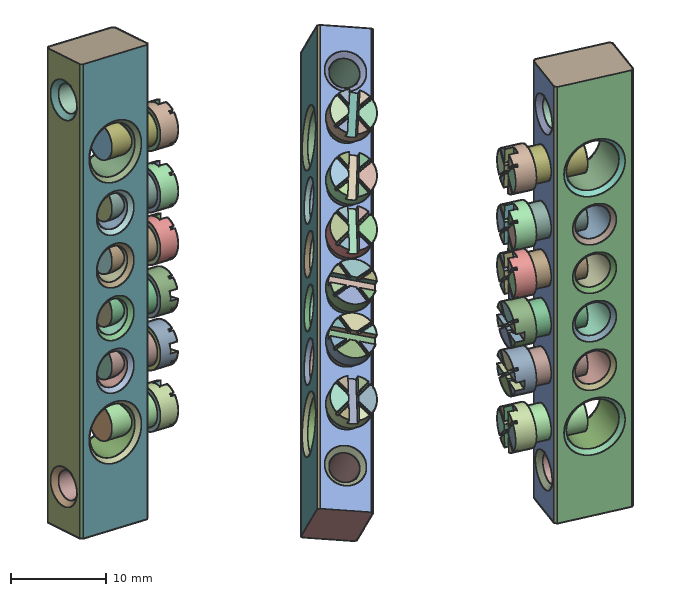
import cadquery as cq

BAR_LENGTH = 54.0
BAR_WIDTH = 6.0
BAR_DEPTH = 9.0
EDGE_CHAMFER = 0.25

MOUNT_HOLE_D = 3.3
MOUNT_MOUTH_D = 4.5
MOUNT_SPACING = 44.0

COUNTERSINK = 0.5
LARGE_WIRE_D = 6.0
SMALL_WIRE_D = 4.0
WIRE_PITCH = 6.0
LARGE_WIRE_OFFSET = 16.0

TOTAL_DEPTH = 13.3
SCREW_LENGTH = 8.4
HEAD_D = 5.0
HEAD_HEIGHT = 2.4
SHANK_D = 4.0
SLOT_WIDTH = 1.1
SLOT_DEPTH = 1.0
GROOVE_WIDTH = 0.25
GROOVE_DEPTH = 0.5
GROOVE_ANGLES = (45, -45)
HEAD_CUT_LENGTH = 1.5 * HEAD_D

HEAD_TOP_Y = TOTAL_DEPTH - BAR_DEPTH / 2
TIP_Y = HEAD_TOP_Y - SCREW_LENGTH

STATIONS = [
    (LARGE_WIRE_OFFSET, LARGE_WIRE_D, 3),
    (1.5 * WIRE_PITCH, SMALL_WIRE_D, 2),
    (0.5 * WIRE_PITCH, SMALL_WIRE_D, -2),
    (-0.5 * WIRE_PITCH, SMALL_WIRE_D, 97),
    (-1.5 * WIRE_PITCH, SMALL_WIRE_D, 97),
    (-LARGE_WIRE_OFFSET, LARGE_WIRE_D, -2),
]


def countersunk_drill(diameter, mouth_diameter, length):
    """Cutter along Z, centred on the origin, flaring at 45 degrees to the mouth at both ends."""
    radius = diameter / 2
    mouth_radius = mouth_diameter / 2
    flare = mouth_radius - radius
    end = length / 2
    profile = [
        (0, -end),
        (mouth_radius, -end),
        (radius, flare - end),
        (radius, end - flare),
        (mouth_radius, end),
        (0, end),
    ]
    return cq.Workplane("XZ").polyline(profile).close().revolve(360, (0, 0), (0, 1))


def make_bar():
    bar = cq.Workplane("XY").box(BAR_WIDTH, BAR_DEPTH, BAR_LENGTH)
    bar = bar.edges("|Z").chamfer(EDGE_CHAMFER)

    mount_drill = countersunk_drill(MOUNT_HOLE_D, MOUNT_MOUTH_D, BAR_DEPTH)
    mount_drill = mount_drill.rotate((0, 0, 0), (1, 0, 0), 90)
    for side in (-1, 1):
        bar = bar.cut(mount_drill.translate((0, 0, side * MOUNT_SPACING / 2)))

    for height, wire_d, _ in STATIONS:
        wire_drill = countersunk_drill(wire_d, wire_d + 2 * COUNTERSINK, BAR_WIDTH)
        wire_drill = wire_drill.rotate((0, 0, 0), (0, 1, 0), 90)
        bar = bar.cut(wire_drill.translate((0, 0, height)))

        screw_hole = (
            cq.Workplane("XZ", origin=(0, 0, height))
            .circle(SHANK_D / 2)
            .extrude(-BAR_DEPTH / 2)
        )
        bar = bar.cut(screw_hole)
    return bar


def make_screw(height, turn):
    """Slotted screw, built along Z with its slot along X, then turned and laid along Y."""
    screw = cq.Workplane("XY").circle(SHANK_D / 2).extrude(SCREW_LENGTH)
    head_base = SCREW_LENGTH - HEAD_HEIGHT
    head = cq.Workplane("XY").workplane(offset=head_base).circle(HEAD_D / 2).extrude(HEAD_HEIGHT)
    screw = screw.union(head)

    top = cq.Workplane("XY").workplane(offset=SCREW_LENGTH)
    screw = screw.cut(top.rect(HEAD_CUT_LENGTH, SLOT_WIDTH).extrude(-SLOT_DEPTH))
    for angle in GROOVE_ANGLES:
        groove = top.rect(HEAD_CUT_LENGTH, GROOVE_WIDTH).extrude(-GROOVE_DEPTH)
        screw = screw.cut(groove.rotate((0, 0, 0), (0, 0, 1), angle))

    screw = screw.rotate((0, 0, 0), (0, 0, 1), 90 - turn)
    screw = screw.rotate((0, 0, 0), (1, 0, 0), -90)
    return screw.translate((0, TIP_Y, height))


bar = make_bar()
screws = [make_screw(height, turn) for height, _, turn in STATIONS]
result = cq.Compound.makeCompound([bar.val(), *[screw.val() for screw in screws]])